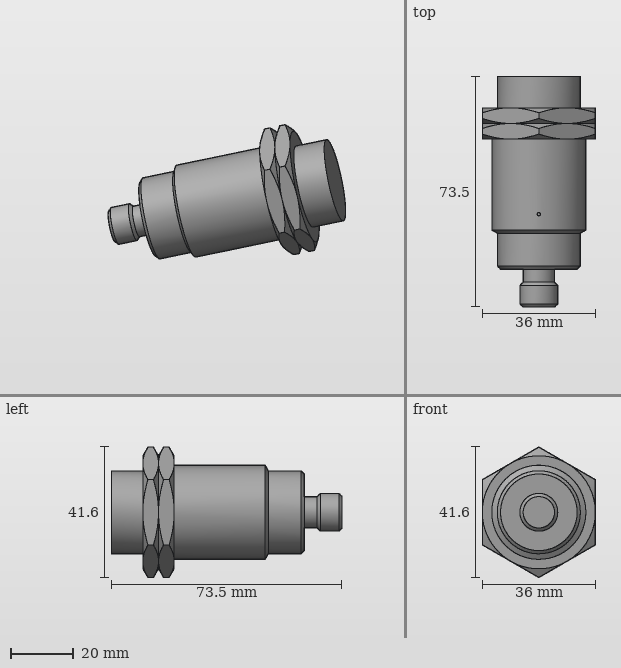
import cadquery as cq
import math

length = 73.5
back_y = length / 2

sleeve_end = 50.0
body_end = 61.45
neck_end = 65.5
thread_radius = 13.2
sleeve_radius = 15.0
neck_radius = 5.0
plug_radius = 6.0
body_chamfer = 1.0
sleeve_chamfer_length = 1.0
plug_chamfer = 1.0

nut_start = 10.0
nut_thickness = 5.0
nut_count = 2
nut_flats = 36.0
nut_corner_radius = nut_flats / math.sqrt(3)
nut_chamfer_angle = 30.0
sleeve_start = nut_start + nut_count * nut_thickness

recess_distance = 43.9
recess_radius = 0.5
recess_depth = 0.2


def revolve_profile(points):
    """Revolve (radius, distance from back face) points about the Y axis."""
    placed = [(radius, back_y - distance) for radius, distance in points]
    return cq.Workplane("XY").polyline(placed).close().revolve(360, (0, 0), (0, 1))


def make_body():
    return revolve_profile([
        (0, 0),
        (thread_radius, 0),
        (thread_radius, sleeve_start),
        (sleeve_radius, sleeve_start),
        (sleeve_radius, sleeve_end - sleeve_chamfer_length),
        (thread_radius, sleeve_end),
        (thread_radius, body_end - body_chamfer),
        (thread_radius - body_chamfer, body_end),
        (neck_radius, body_end),
        (neck_radius, neck_end),
        (plug_radius, neck_end + plug_chamfer),
        (plug_radius, length - plug_chamfer),
        (plug_radius - plug_chamfer, length),
        (0, length),
    ])


def make_nut(start):
    """Hexagon with corners on +Z and -Z, cone-chamfered on both faces."""
    end = start + nut_thickness
    face_radius = nut_flats / 2
    chamfer_length = (nut_corner_radius - face_radius) * math.tan(math.radians(nut_chamfer_angle))
    hexagon = (
        cq.Workplane("XZ", origin=(0, back_y - start, 0))
        .transformed(rotate=(0, 0, 90))
        .polygon(6, 2 * nut_corner_radius)
        .extrude(nut_thickness)
    )
    envelope = revolve_profile([
        (0, start),
        (face_radius, start),
        (nut_corner_radius, start + chamfer_length),
        (nut_corner_radius, end - chamfer_length),
        (face_radius, end),
        (0, end),
    ])
    return hexagon.intersect(envelope)


def make_recess():
    floor_height = sleeve_radius - recess_depth
    return (
        cq.Workplane("XY", origin=(0, back_y - recess_distance, floor_height))
        .circle(recess_radius)
        .extrude(2 * recess_depth)
    )


result = make_body()
for index in range(nut_count):
    result = result.union(make_nut(nut_start + index * nut_thickness))
result = result.cut(make_recess())